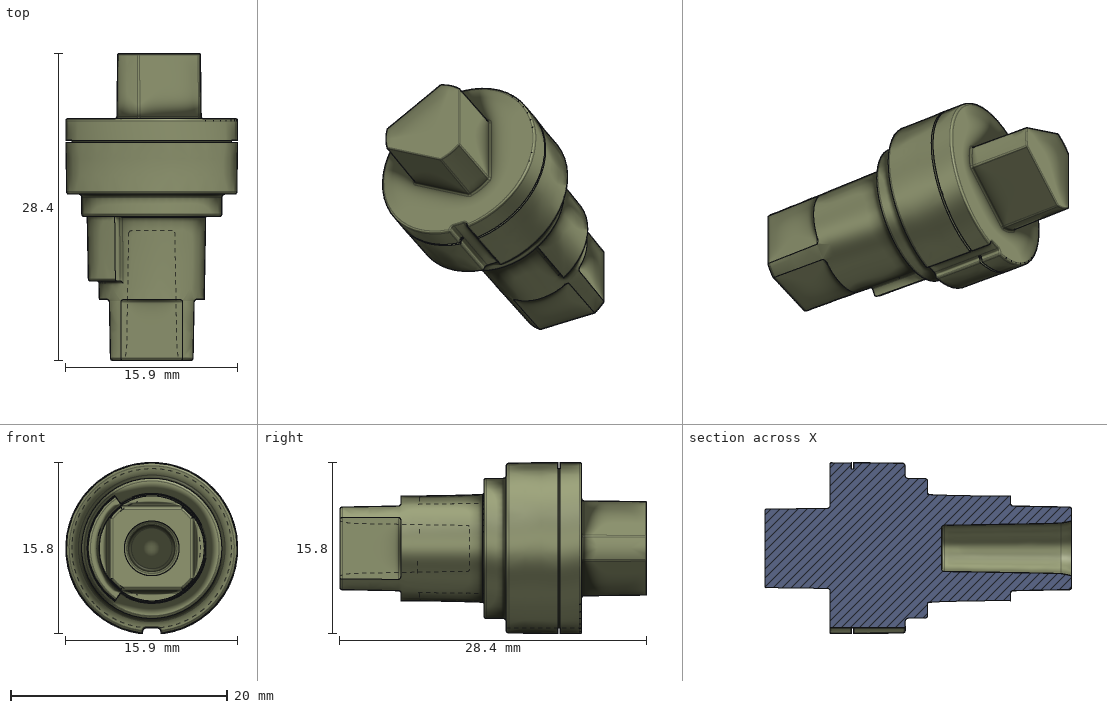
import cadquery as cq
import math


DRAFT = 1.0

FLANGE_R = 7.945
FLANGE_LENGTH = 2.0
FLANGE_ROUND = 0.2
GROOVE_R = 7.38
GROOVE_WIDTH = 0.2
BODY_LENGTH = 4.78
BODY_FRONT_R = 7.88
BODY_ROUND = 0.25
COLLAR_R = 6.48
COLLAR_LENGTH = 2.07
COLLAR_ROUND = 0.25
COLLAR_ROOT_ROUND = 0.3

DRIVE_LENGTH = 6.0
DRIVE_R = 4.58
DRIVE_FLAT = 3.23
DRIVE_FLAT_COUNT = 3
DRIVE_POLYGON_TURN = -90.0
DRIVE_DRAFT = 0.7
DRIVE_EDGE_ROUND = 0.3
DRIVE_ROOT_ROUND = 0.2
DRIVE_END_ROUND = 0.1

SHAFT_R = 4.99
SHAFT_LENGTH = 13.3
SHAFT_ROOT_ROUND = 0.1
SQUARE_SIDES = 4
SQUARE_LENGTH = 5.65
SQUARE_FLAT = 3.92
SQUARE_ROOT_ROUND = 0.25
SQUARE_END_ROUND = 0.25

SECTOR_R = 5.97
SECTOR_LENGTH = 5.95
SECTOR_ANGLE = 110.0
SECTOR_END_ROUND = 0.2
SECTOR_ROOT_ROUND = 0.2

BORE_MOUTH_R = 2.53
BORE_R = 2.32
BORE_LEAD_IN = 1.0
BORE_DEPTH = 12.0
BORE_FLOOR_ROUND = 0.25

NOTCH_HALF_WIDTH = 0.84
NOTCH_FLOOR = 7.35
NOTCH_FLOOR_ROUND = 0.35
NOTCH_LIP_ROUND = 0.12

GROOVE_REAR_Y = -FLANGE_LENGTH
BODY_REAR_Y = GROOVE_REAR_Y - GROOVE_WIDTH
BODY_FRONT_Y = BODY_REAR_Y - BODY_LENGTH
COLLAR_FRONT_Y = BODY_FRONT_Y - COLLAR_LENGTH
SHAFT_END_Y = COLLAR_FRONT_Y - SHAFT_LENGTH
SHOULDER_Y = SHAFT_END_Y + SQUARE_LENGTH
SECTOR_END_Y = COLLAR_FRONT_Y - SECTOR_LENGTH
EDGE_TOLERANCE = 0.02
CUT_MARGIN = 1.0


def shrink(length):
    """Radius lost to the draft over an axial length."""
    return length * math.tan(math.radians(DRAFT))


def revolve_about_y(profile, angle=360.0):
    return profile.close().revolve(angle, (0, 0, 0), (0, 1, 0))


def make_hub():
    flange = cq.Workplane("XZ").circle(FLANGE_R).extrude(FLANGE_LENGTH)
    flange = flange.faces(">Y").edges().fillet(FLANGE_ROUND)
    groove_core = (
        cq.Workplane("XZ", origin=(0, GROOVE_REAR_Y, 0)).circle(GROOVE_R).extrude(GROOVE_WIDTH)
    )
    body = revolve_about_y(
        cq.Workplane("XY")
        .moveTo(0, BODY_REAR_Y)
        .lineTo(FLANGE_R, BODY_REAR_Y)
        .lineTo(BODY_FRONT_R, BODY_FRONT_Y)
        .lineTo(0, BODY_FRONT_Y)
    )
    body = body.faces("<Y").edges().fillet(BODY_ROUND)
    collar = cq.Workplane("XZ", origin=(0, BODY_FRONT_Y, 0)).circle(COLLAR_R).extrude(COLLAR_LENGTH)
    collar = collar.faces("<Y").edges().fillet(COLLAR_ROUND)
    hub = flange.union(groove_core).union(body).union(collar)
    return hub.union(root_fillet(COLLAR_R, BODY_FRONT_Y, COLLAR_ROOT_ROUND))


def root_fillet(radius, face_y, size):
    """Concave ring between a face at face_y and the round bar that leaves it towards -Y."""
    return revolve_about_y(
        cq.Workplane("XY")
        .moveTo(radius - size, face_y)
        .lineTo(radius + size, face_y)
        .radiusArc((radius, face_y - size), -size)
        .lineTo(radius - size, face_y - size)
    )


def make_notch_cutter():
    height = FLANGE_R + CUT_MARGIN - NOTCH_FLOOR
    length = FLANGE_LENGTH + GROOVE_WIDTH + BODY_LENGTH
    cutter = (
        cq.Workplane("XZ")
        .center(0, -NOTCH_FLOOR - height / 2)
        .rect(2 * NOTCH_HALF_WIDTH, height)
        .extrude(length)
    )
    return cutter.edges("|Y and >Z").fillet(NOTCH_FLOOR_ROUND)


def make_drive():
    polygon_r = DRIVE_FLAT / math.cos(math.pi / DRIVE_FLAT_COUNT)
    section = (
        cq.Sketch()
        .circle(DRIVE_R)
        .regularPolygon(polygon_r, DRIVE_FLAT_COUNT, DRIVE_POLYGON_TURN, mode="i")
        .vertices()
        .fillet(DRIVE_EDGE_ROUND)
    )
    drive = cq.Workplane("XZ").placeSketch(section).extrude(-DRIVE_LENGTH, taper=DRIVE_DRAFT)
    return drive.faces(">Y").edges().fillet(DRIVE_END_ROUND)


def make_shaft():
    end_r = SHAFT_R - shrink(SHAFT_LENGTH)
    shaft = revolve_about_y(
        cq.Workplane("XY")
        .moveTo(0, COLLAR_FRONT_Y)
        .lineTo(SHAFT_R, COLLAR_FRONT_Y)
        .lineTo(end_r, SHAFT_END_Y)
        .lineTo(0, SHAFT_END_Y)
    )
    cutter = make_flat_cutter()
    for side in range(SQUARE_SIDES):
        shaft = shaft.cut(cutter.rotate((0, 0, 0), (0, 1, 0), side * 360 / SQUARE_SIDES))
    return shaft.faces("<Y").edges().fillet(SQUARE_END_ROUND)


def make_flat_cutter():
    """Tool for one flat of the square end, on the +X side."""
    outer_x = SHAFT_R + CUT_MARGIN
    flat_end = SQUARE_FLAT - shrink(SQUARE_LENGTH)
    return (
        cq.Workplane("XY")
        .moveTo(flat_end, SHAFT_END_Y)
        .lineTo(SQUARE_FLAT, SHOULDER_Y - SQUARE_ROOT_ROUND)
        .radiusArc((SQUARE_FLAT + SQUARE_ROOT_ROUND, SHOULDER_Y), SQUARE_ROOT_ROUND)
        .lineTo(outer_x, SHOULDER_Y)
        .lineTo(outer_x, SHAFT_END_Y)
        .close()
        .extrude(outer_x, both=True)
    )


def make_sector():
    end_r = SECTOR_R - shrink(SECTOR_LENGTH)
    inner_r = SHAFT_R / 2
    sector = revolve_about_y(
        cq.Workplane("XY")
        .moveTo(inner_r, COLLAR_FRONT_Y)
        .lineTo(SECTOR_R, COLLAR_FRONT_Y)
        .lineTo(end_r, SECTOR_END_Y + SECTOR_END_ROUND)
        .radiusArc((end_r - SECTOR_END_ROUND, SECTOR_END_Y), SECTOR_END_ROUND)
        .lineTo(inner_r, SECTOR_END_Y),
        SECTOR_ANGLE,
    )
    return sector.rotate((0, 0, 0), (0, 1, 0), 180 - SECTOR_ANGLE / 2)


def is_drive_root(edge):
    """True for the edges where the drive meets the flange."""
    middle = edge.positionAt(0.5)
    return abs(middle.y) < EDGE_TOLERANCE and math.hypot(middle.x, middle.z) < DRIVE_R + EDGE_TOLERANCE


def is_notch_lip(edge):
    """True for the lengthwise edges where the notch walls run out through the rim."""
    middle = edge.positionAt(0.5)
    on_wall = abs(abs(middle.x) - NOTCH_HALF_WIDTH) < EDGE_TOLERANCE
    outside_floor_round = middle.z < -NOTCH_FLOOR - NOTCH_FLOOR_ROUND - EDGE_TOLERANCE
    runs_lengthwise = edge.Length() > FLANGE_LENGTH / 2
    return on_wall and outside_floor_round and runs_lengthwise


def make_hub_with_drive():
    hub = make_hub().cut(make_notch_cutter())
    hub = hub.edges().filter(is_notch_lip).fillet(NOTCH_LIP_ROUND)
    hub = hub.union(make_drive())
    return hub.edges().filter(is_drive_root).fillet(DRIVE_ROOT_ROUND)


def touches_sector_root(edge):
    """True for the edges where the sector meets the tapered shaft."""
    middle = edge.positionAt(0.5)
    taper_r = SHAFT_R - shrink(COLLAR_FRONT_Y - middle.y)
    on_shaft = abs(math.hypot(middle.x, middle.z) - taper_r) < EDGE_TOLERANCE
    beside_sector = SECTOR_END_Y - EDGE_TOLERANCE < middle.y < COLLAR_FRONT_Y - EDGE_TOLERANCE
    return on_shaft and beside_sector and middle.x < 0


def make_shaft_with_sector():
    shaft = make_shaft().union(make_sector())
    return shaft.edges().filter(touches_sector_root).fillet(SECTOR_ROOT_ROUND)


def make_bore():
    lead_in_y = SHAFT_END_Y + BORE_LEAD_IN
    floor_y = SHAFT_END_Y + BORE_DEPTH
    floor_r = BORE_R - shrink(BORE_DEPTH - BORE_LEAD_IN)
    bore = revolve_about_y(
        cq.Workplane("XY")
        .moveTo(0, SHAFT_END_Y)
        .lineTo(BORE_MOUTH_R, SHAFT_END_Y)
        .lineTo(BORE_R, lead_in_y)
        .lineTo(floor_r, floor_y)
        .lineTo(0, floor_y)
    )
    return bore.faces(">Y").edges().fillet(BORE_FLOOR_ROUND)


result = (
    make_hub_with_drive()
    .union(make_shaft_with_sector())
    .union(root_fillet(SHAFT_R, COLLAR_FRONT_Y, SHAFT_ROOT_ROUND))
    .cut(make_bore())
)